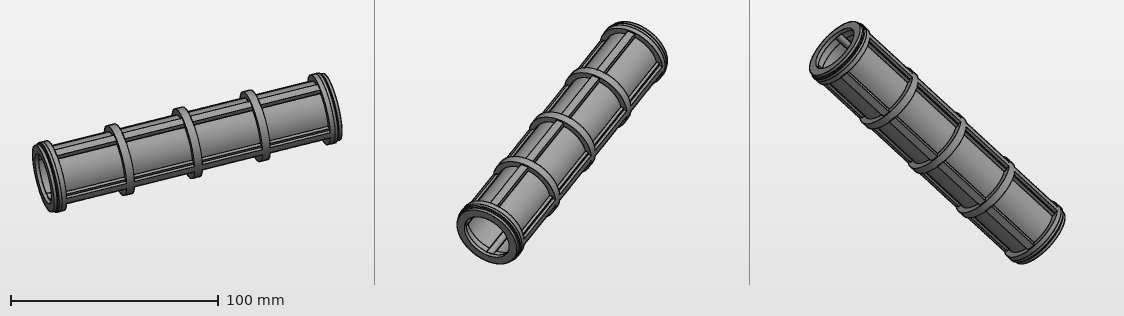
import cadquery as cq

length = 146.05
collar_diameter = 34.8
ring_diameter = 34.67

tube_diameter = 28.7
opening_diameter = 24.89
bore_diameter = 27.94
lip_length = 1.9

nose_diameter = 33.2
nose_length = 1.5
shoulder_bend_diameter = 34.2
shoulder_bend = 1.9
shoulder_end = 2.4
collar_end = 3.75
end_band_length = 6.2

hoop_count = 3
hoop_width = 4.0

rib_width = 3.9
rib_foot_width = 6.4
rib_foot_span = 2 * 15.67
flat_rib_span = 2 * 16.55
inner_rib_count = 4

half_length = length / 2
band_span = length - 2 * end_band_length
hoop_pitch = (band_span + hoop_width) / (hoop_count + 1)


def cylinder(diameter, start, end):
    """Solid cylinder along Y from start to end."""
    sketch = cq.Workplane("XZ", origin=(0, start, 0)).circle(diameter / 2)
    return sketch.extrude(-(end - start))


def bar(size_x, size_z):
    """Full-length bar through the axis, reaching between the two end bands."""
    return cq.Workplane("XY").box(size_x, band_span, size_z)


def make_end_band():
    """End band at +Y: nose, two-slope shoulder, collar and a slightly smaller band."""
    profile = [
        (0, half_length - end_band_length),
        (ring_diameter / 2, half_length - end_band_length),
        (ring_diameter / 2, half_length - collar_end),
        (collar_diameter / 2, half_length - collar_end),
        (collar_diameter / 2, half_length - shoulder_end),
        (shoulder_bend_diameter / 2, half_length - shoulder_bend),
        (nose_diameter / 2, half_length - nose_length),
        (nose_diameter / 2, half_length),
        (0, half_length),
    ]
    return cq.Workplane("XY").polyline(profile).close().revolve(360, (0, 0, 0), (0, 1, 0))


def make_ribs():
    """Stepped ribs on the X sides and flat-topped ribs on the Z sides."""
    side_ribs = bar(ring_diameter, rib_width).intersect(
        cylinder(ring_diameter, -half_length, half_length)
    )
    side_feet = bar(rib_foot_span, rib_foot_width)
    flat_ribs = bar(rib_width, flat_rib_span)
    return side_ribs.union(side_feet).union(flat_ribs)


def make_hoops():
    """Evenly spaced hoops around the sleeve."""
    first_start = -(hoop_count - 1) / 2 * hoop_pitch - hoop_width / 2
    hoops = cylinder(ring_diameter, first_start, first_start + hoop_width)
    for index in range(1, hoop_count):
        start = first_start + index * hoop_pitch
        hoops = hoops.union(cylinder(ring_diameter, start, start + hoop_width))
    return hoops


def make_bore():
    """Through opening, widened between the two end lips."""
    opening = cylinder(opening_diameter, -half_length, half_length)
    widened = cylinder(bore_diameter, lip_length - half_length, half_length - lip_length)
    return opening.union(widened)


def make_inner_ribs():
    """Evenly spaced round-edged ribs inside the sleeve, just touching the opening diameter."""
    round_radius = rib_width / 2
    round_center = opening_diameter / 2 + round_radius
    rib = cylinder(rib_width, -half_length, half_length).translate((round_center, 0, 0))
    ribs = rib
    for index in range(1, inner_rib_count):
        angle = index * 360 / inner_rib_count
        ribs = ribs.union(rib.rotate((0, 0, 0), (0, 1, 0), angle))
    return ribs.intersect(cylinder(tube_diameter, -half_length, half_length))


end_band = make_end_band()
body = cylinder(tube_diameter, -half_length, half_length)
body = body.union(make_ribs()).union(make_hoops())
body = body.union(end_band).union(end_band.mirror("XZ"))
result = body.cut(make_bore()).union(make_inner_ribs())